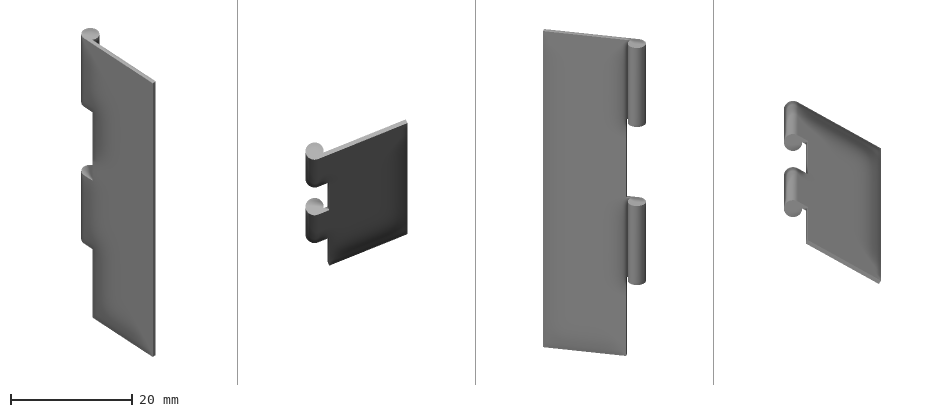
import cadquery as cq

LEAF_HEIGHT = 60.0
OVERALL_WIDTH = 17.5
LEAF_THICKNESS = 0.7
KNUCKLE_DIAMETER = 3.0
NOTCH_DEPTH = 3.5
SEGMENT_COUNT = 4

knuckle_radius = KNUCKLE_DIAMETER / 2
segment_height = LEAF_HEIGHT / SEGMENT_COUNT
notch_edge_x = NOTCH_DEPTH - knuckle_radius
leaf_end_x = OVERALL_WIDTH - knuckle_radius
leaf_front_y = -knuckle_radius


def plate(x_start, x_end, z_start, height):
    """Flat plate whose front face is tangent to the knuckles."""
    size = (x_end - x_start, LEAF_THICKNESS, height)
    corner = (x_start, leaf_front_y, z_start)
    return cq.Workplane("XY").box(*size, centered=False).translate(corner)


def knuckle(z_start):
    """Solid round knuckle on the Z axis, with the tab joining it to the leaf."""
    barrel = cq.Workplane("XY").circle(knuckle_radius).extrude(segment_height)
    tab = plate(0, notch_edge_x, z_start, segment_height)
    return barrel.translate((0, 0, z_start)).union(tab)


result = plate(notch_edge_x, leaf_end_x, 0, LEAF_HEIGHT)
for segment in range(1, SEGMENT_COUNT, 2):
    result = result.union(knuckle(segment * segment_height))